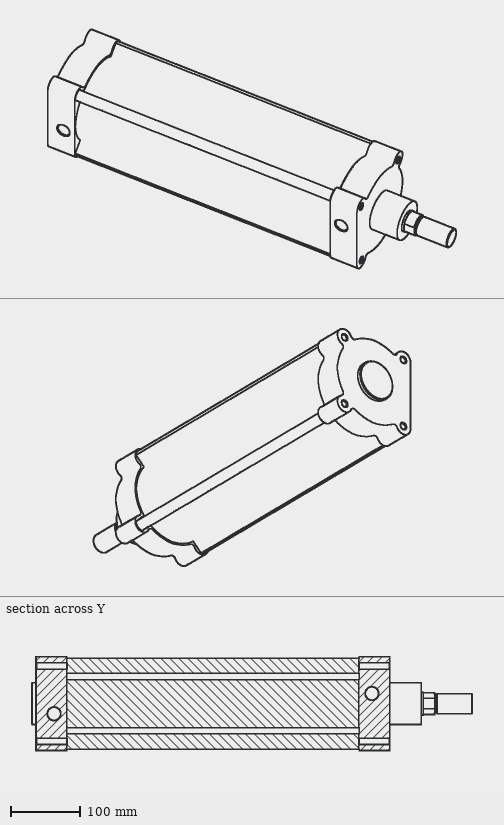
import cadquery as cq
import math

TOTAL_LENGTH = 635.0
BOSS_LENGTH = 6.5
CAP_LENGTH = 44.5
BARREL_LENGTH = 421.0
SPIGOT_LENGTH = 45.0

REAR_CAP_START = -TOTAL_LENGTH / 2 + BOSS_LENGTH
BARREL_START = REAR_CAP_START + CAP_LENGTH
FRONT_CAP_START = BARREL_START + BARREL_LENGTH
FRONT_CAP_END = FRONT_CAP_START + CAP_LENGTH
ROD_START = FRONT_CAP_END + SPIGOT_LENGTH
ROD_END = TOTAL_LENGTH / 2

SQUARE_SIZE = 135.0
HALF_SIZE = SQUARE_SIZE / 2
CAP_EAR_RADIUS = 13.5
EAR_OFFSET = HALF_SIZE - CAP_EAR_RADIUS
EAR_CENTRES = [(sy * EAR_OFFSET, sz * EAR_OFFSET) for sy in (-1, 1) for sz in (-1, 1)]

QUARTER_TURNS = (0, 90, 180, 270)

CAP_RADIUS = 67.0
CAP_NECK_FILLET = 5.0
PORT_FACE_OVERLAP = 6.5
PORT_FACE_DEPTH = CAP_EAR_RADIUS + PORT_FACE_OVERLAP
PAD_HEIGHT = HALF_SIZE
PAD_HALF_TOP = 4.5
PAD_HALF_BASE = 11.0
BOSS_RADIUS = 60.5 / 2
BOSS_CHAMFER = 1.0
SCREW_HOLE_RADIUS = 4.5
PORT_RADIUS = 9.5
RIM_CHAMFER = 1.0
PORT_DEPTH = 19.0
PORT_INSET = 26.0
PORT_HEIGHT = 14.5

BARREL_RADIUS = 65.0
BARREL_EAR_RADIUS = 11.5
WEB_FILLET = 1.0
RIDGE_HEIGHT = 65.5
RIDGE_HALF_WIDTH = 8.0

COLLAR_RADIUS = 16.5
COLLAR_LENGTH = 3.0
FLATS_RADIUS = 16.0
FLATS_LENGTH = 16.0
FLATS_HALF_WIDTH = 14.0
THREAD_RADIUS = 14.5
THREAD_CHAMFER = 1.0
GROOVE_RADIUS = THREAD_RADIUS - THREAD_CHAMFER
GROOVE_LENGTH = 2.5


def section(x):
    """Sketch plane across the axis at x, with local X along +Y and local Y along +Z."""
    return cq.Workplane("YZ", origin=(x, 0, 0))


def turned_about_axis(body, angle):
    return body.rotate((0, 0, 0), (1, 0, 0), angle)


def ear_crossing(body_radius, ear_radius):
    """Small and large coordinate of the point where an ear circle crosses the round body."""
    ear_distance = EAR_OFFSET * math.sqrt(2)
    cosine = (body_radius**2 + ear_distance**2 - ear_radius**2) / (2 * body_radius * ear_distance)
    spread = math.acos(cosine)
    return body_radius * math.cos(math.pi / 4 + spread), body_radius * math.sin(math.pi / 4 + spread)


def web_crossing(body_radius, half_width):
    """Small and large coordinate of the point where the side of a diagonal web meets the round body."""
    along = math.sqrt(body_radius**2 - half_width**2)
    return (along - half_width) / math.sqrt(2), (along + half_width) / math.sqrt(2)


def round_lengthwise_edges(body, points, radius):
    """Fillet the edges along X that pass through the given (y, z) points."""
    x_middle = body.val().Center().x
    edges = []
    for y, z in points:
        edges += body.edges(cq.selectors.NearestToPointSelector((x_middle, y, z))).vals()
    return body.newObject(edges).fillet(radius)


def make_hole_tool(radius, depth):
    """Hole with a chamfered rim, entering at the origin and running along +Y."""
    hole = cq.Workplane("XZ").circle(radius).extrude(-depth)
    rim = cq.Solid.makeCone(
        radius + RIM_CHAMFER, radius, RIM_CHAMFER, pnt=cq.Vector(0, 0, 0), dir=cq.Vector(0, 1, 0)
    )
    return hole.union(cq.Workplane(rim))


def make_cap_plate(x_start, outer_face, hole_turn):
    """Round plate with four screw ears, a flat port face on -Y and a small pad on each other side.

    The screw holes enter at outer_face; hole_turn swings them about Z from +Y into the plate.
    """
    plate = section(x_start).circle(CAP_RADIUS).extrude(CAP_LENGTH)
    ears = section(x_start).pushPoints(EAR_CENTRES).circle(CAP_EAR_RADIUS).extrude(CAP_LENGTH)
    port_face = (
        section(x_start)
        .center(-HALF_SIZE + PORT_FACE_DEPTH / 2, 0)
        .rect(PORT_FACE_DEPTH, 2 * EAR_OFFSET)
        .extrude(CAP_LENGTH)
    )
    blank = plate.union(ears).union(port_face)
    small, large = ear_crossing(CAP_RADIUS, CAP_EAR_RADIUS)
    necks = [(sy * small, sz * large) for sy in (-1, 1) for sz in (-1, 1)]
    necks += [(large, sz * small) for sz in (-1, 1)]
    blank = round_lengthwise_edges(blank, necks, CAP_NECK_FILLET)

    pad_base = math.sqrt(CAP_RADIUS**2 - PAD_HALF_BASE**2)
    pad = (
        section(x_start)
        .moveTo(0, 0)
        .lineTo(PAD_HALF_BASE, pad_base)
        .lineTo(PAD_HALF_TOP, PAD_HEIGHT)
        .lineTo(-PAD_HALF_TOP, PAD_HEIGHT)
        .lineTo(-PAD_HALF_BASE, pad_base)
        .close()
        .extrude(CAP_LENGTH)
    )
    for angle in (0, -90, 180):
        blank = blank.union(turned_about_axis(pad, angle))

    for y, z in EAR_CENTRES:
        screw_hole = make_hole_tool(SCREW_HOLE_RADIUS, CAP_LENGTH).rotate((0, 0, 0), (0, 0, 1), hole_turn)
        blank = blank.cut(screw_hole.translate((outer_face, y, z)))
    return blank


def make_port(x, z):
    """Blind air port entering through the -Y face."""
    return make_hole_tool(PORT_RADIUS, PORT_DEPTH).translate((x, -HALF_SIZE, z))


def make_rear_cap():
    boss = section(-TOTAL_LENGTH / 2).circle(BOSS_RADIUS).extrude(BOSS_LENGTH)
    boss = boss.faces("<X").chamfer(BOSS_CHAMFER)
    port = make_port(REAR_CAP_START + PORT_INSET, -PORT_HEIGHT)
    return make_cap_plate(REAR_CAP_START, REAR_CAP_START, -90).union(boss).cut(port)


def make_front_cap():
    spigot = section(FRONT_CAP_END).circle(BOSS_RADIUS).extrude(SPIGOT_LENGTH)
    port = make_port(FRONT_CAP_END - PORT_INSET, PORT_HEIGHT)
    return make_cap_plate(FRONT_CAP_START, FRONT_CAP_END, 90).union(spigot).cut(port)


def make_barrel():
    """Extruded profile: round body, four rounded corner ears on 45 degree webs, four shallow ridges."""
    barrel = section(BARREL_START).circle(BARREL_RADIUS).extrude(BARREL_LENGTH)

    ear_tip = EAR_OFFSET + BARREL_EAR_RADIUS
    arc_middle = EAR_OFFSET + BARREL_EAR_RADIUS * math.sqrt(0.5)
    ear = (
        section(BARREL_START)
        .moveTo(BARREL_EAR_RADIUS, 0)
        .lineTo(ear_tip, EAR_OFFSET)
        .threePointArc((arc_middle, arc_middle), (EAR_OFFSET, ear_tip))
        .lineTo(0, BARREL_EAR_RADIUS)
        .close()
        .extrude(BARREL_LENGTH)
    )
    for angle in QUARTER_TURNS:
        barrel = barrel.union(turned_about_axis(ear, angle))
    small, large = web_crossing(BARREL_RADIUS, BARREL_EAR_RADIUS / math.sqrt(2))
    web_roots = []
    for sy in (-1, 1):
        for sz in (-1, 1):
            web_roots += [(sy * small, sz * large), (sy * large, sz * small)]
    barrel = round_lengthwise_edges(barrel, web_roots, WEB_FILLET)

    ridge_base = math.sqrt(BARREL_RADIUS**2 - RIDGE_HALF_WIDTH**2)
    ridge = (
        section(BARREL_START)
        .moveTo(0, 0)
        .lineTo(RIDGE_HALF_WIDTH, ridge_base)
        .lineTo(0, RIDGE_HEIGHT)
        .lineTo(-RIDGE_HALF_WIDTH, ridge_base)
        .close()
        .extrude(BARREL_LENGTH)
    )
    for angle in QUARTER_TURNS:
        barrel = barrel.union(turned_about_axis(ridge, angle))
    return barrel


def make_rod():
    """Rod end: collar with two wrench flats, relief groove and plain thread cylinder."""
    flats_start = ROD_START + COLLAR_LENGTH
    groove_start = flats_start + FLATS_LENGTH
    thread_start = groove_start + GROOVE_LENGTH

    rod = section(ROD_START).circle(COLLAR_RADIUS).extrude(COLLAR_LENGTH)
    wrench_section = (
        section(flats_start)
        .circle(FLATS_RADIUS)
        .extrude(FLATS_LENGTH)
        .intersect(section(flats_start).rect(2 * FLATS_HALF_WIDTH, 2 * FLATS_RADIUS).extrude(FLATS_LENGTH))
    )
    groove = section(groove_start).circle(GROOVE_RADIUS).extrude(GROOVE_LENGTH)
    thread = section(thread_start).circle(THREAD_RADIUS).extrude(ROD_END - thread_start)
    thread = thread.faces("<X or >X").chamfer(THREAD_CHAMFER)
    return rod.union(wrench_section).union(groove).union(thread)


rear_cap = make_rear_cap()
barrel = make_barrel()
front_cap = make_front_cap()
rod = make_rod()

result = cq.Compound.makeCompound([rear_cap.val(), barrel.val(), front_cap.val(), rod.val()])